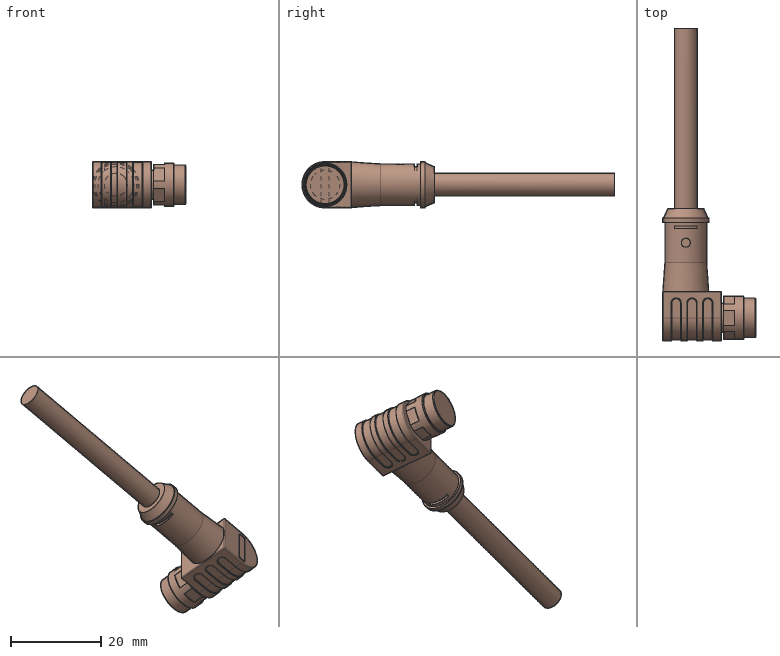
import cadquery as cq


housing_dia = 10.3
housing_radius = housing_dia / 2
housing_length = 13.05
housing_left = -housing_radius
housing_right = housing_left + housing_length
housing_back = 5.85
housing_edge = 0.2

groove_count = 3
groove_pitch = 3.5
groove_width = 2.25
groove_depth = 0.2
groove_back = 4.4
groove_wall_slope = 0.15

label_width = 1.75
label_height = 8.25
label_depth = 0.1
label_corner = 0.3

sleeve_dia = 9.3
taper_dia = 10.2
taper_end = 12.25
collar_start = 21.15
collar_cone_start = 22.1
collar_end = 24.2
collar_cone_dia = 9.9
collar_end_dia = 8.0
cable_dia = 5.1
cable_end = 64.15

notch_start = 19.8
notch_width = 0.6
notch_length = 4.9
notch_floor_dia = 8.0
dimple_dia = 2.0
dimple_y = 16.65
dimple_floor = 4.5

neck_dia = 6.5
nut_start = 8.4
nut_end = 12.95
nut_dia = 9.6
nut_across_flats = 9.0
nut_flat_count = 6
nut_flat_length = 2.4
nut_edge = 0.2
tip_dia = 8.8
tip_end = 15.55
tip_edge = 0.2


def housing_prism(inset):
    """Round-fronted housing section, shrunk by inset in Y and Z, along the housing length."""
    radius = housing_radius - inset
    return (
        cq.Workplane("YZ", origin=(housing_left, 0, 0))
        .moveTo(0, radius)
        .lineTo(housing_back, radius)
        .lineTo(housing_back, -radius)
        .lineTo(0, -radius)
        .threePointArc((-radius, 0), (0, radius))
        .close()
        .extrude(housing_length)
    )


def groove_cutter(center_x):
    """U-shaped groove, round at the back end, that wraps the round front, with sloped walls."""
    floor_radius = housing_radius - groove_depth
    half_width = groove_width / 2
    front = -housing_dia
    arc_y = groove_back - half_width
    slot = (
        cq.Workplane("XY", origin=(center_x, 0, -housing_dia))
        .moveTo(-half_width, front)
        .lineTo(-half_width, arc_y)
        .threePointArc((0, arc_y + half_width), (half_width, arc_y))
        .lineTo(half_width, front)
        .close()
        .extrude(2 * housing_dia)
    )
    cutter = slot.cut(housing_prism(groove_depth))
    reach = floor_radius + groove_depth / 2
    floor_edges = cq.selectors.BoxSelector(
        (center_x - groove_width, -reach, -reach),
        (center_x + groove_width, groove_back, reach),
    )
    return cutter.edges(floor_edges).chamfer(groove_depth, groove_wall_slope)


def make_housing():
    housing = housing_prism(0).faces("<X or >X or >Y").edges().fillet(housing_edge)
    middle_x = (housing_left + housing_right) / 2
    for index in range(groove_count):
        center_x = middle_x + (index - (groove_count - 1) / 2) * groove_pitch
        housing = housing.cut(groove_cutter(center_x))
    label = (
        cq.Workplane("XY")
        .box(label_depth, label_width, label_height, centered=(False, True, True))
        .edges("|X")
        .fillet(label_corner)
        .translate((housing_left, 0, 0))
    )
    return housing.cut(label)


def make_cable_side():
    """Tapered sleeve, collar and cable, turned about the Y axis."""
    turned = (
        cq.Workplane("XY")
        .moveTo(0, 0)
        .lineTo(neck_dia / 2, 0)
        .lineTo(neck_dia / 2, housing_back)
        .lineTo(taper_dia / 2, housing_back)
        .lineTo(sleeve_dia / 2, taper_end)
        .lineTo(sleeve_dia / 2, collar_start)
        .lineTo(housing_radius, collar_start)
        .lineTo(housing_radius, collar_cone_start)
        .lineTo(collar_cone_dia / 2, collar_cone_start)
        .lineTo(collar_end_dia / 2, collar_end)
        .lineTo(cable_dia / 2, collar_end)
        .lineTo(cable_dia / 2, cable_end)
        .lineTo(0, cable_end)
        .close()
        .revolve(360, (0, 0, 0), (0, 1, 0))
    )
    notch_core = cq.Workplane("XZ").circle(notch_floor_dia / 2).extrude(-notch_width)
    notches = (
        cq.Workplane("XY")
        .box(notch_length, notch_width, housing_dia, centered=(True, False, True))
        .cut(notch_core)
        .translate((0, notch_start, 0))
    )
    turned = turned.cut(notches)
    dimple = cq.Workplane("XY", origin=(0, dimple_y, dimple_floor)).circle(dimple_dia / 2).extrude(sleeve_dia)
    return turned.cut(dimple)


def cylinder_x(dia, start, end):
    return cq.Workplane("YZ", origin=(start, 0, 0)).circle(dia / 2).extrude(end - start)


def make_plug():
    neck = cylinder_x(neck_dia, 0, nut_start)
    nut = cylinder_x(nut_dia, nut_start, nut_end).faces(">X").edges().chamfer(nut_edge)
    for index in range(nut_flat_count):
        flat = (
            cq.Workplane("XY")
            .box(nut_flat_length, nut_dia, nut_dia, centered=(False, True, False))
            .translate((nut_start, 0, nut_across_flats / 2))
            .rotate((0, 0, 0), (1, 0, 0), index * 360 / nut_flat_count)
        )
        nut = nut.cut(flat)
    tip = cylinder_x(tip_dia, nut_start, tip_end).faces(">X").edges().chamfer(tip_edge)
    return neck.union(nut).union(tip)


result = make_housing().union(make_cable_side()).union(make_plug())